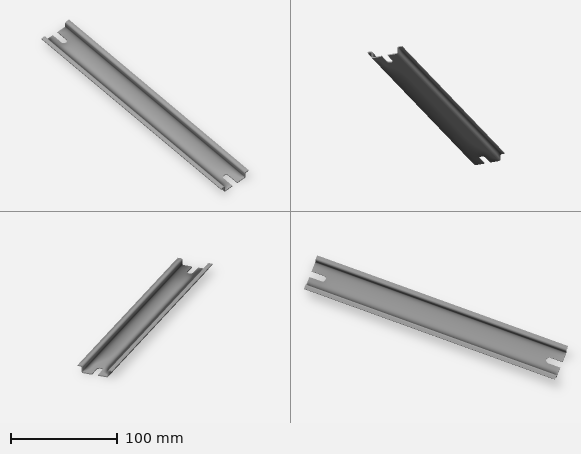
import cadquery as cq

length = 251.0
width = 35.0
height = 7.5
thickness = 1.0
channel_width = 27.0
inner_bend_radius = 0.8
outer_bend_radius = inner_bend_radius + thickness

slot_width = 6.0
slot_depth = 15.0


def box_profile(outside_width, bottom, top):
    """Bar along the rail, centred in Y, between two heights."""
    return cq.Workplane("XY").box(
        length, outside_width, top - bottom, centered=(True, True, False)
    ).translate((0, 0, bottom))


def make_rail():
    """Channel with rounded bends and two outward flanges."""
    inner_width = channel_width - 2 * thickness
    channel = box_profile(channel_width, 0, height)
    flanges = box_profile(width, height - thickness, height)
    outside = channel.edges("|X and <Z").fillet(outer_bend_radius).union(flanges)

    under_flange = cq.selectors.BoxSelector(
        (-length, -channel_width / 2 - thickness / 2, height - 1.5 * thickness),
        (length, channel_width / 2 + thickness / 2, height - thickness / 2),
    )
    outside = outside.edges("|X").edges(under_flange).fillet(inner_bend_radius)

    cavity = box_profile(inner_width, thickness, height)
    cavity = cavity.edges("|X and <Z").fillet(inner_bend_radius)
    rail = outside.cut(cavity)

    mouth = cq.selectors.BoxSelector(
        (-length, -channel_width / 2, height - thickness / 2),
        (length, channel_width / 2, height + thickness / 2),
    )
    return rail.edges("|X").edges(mouth).fillet(outer_bend_radius)


def end_slot(side):
    """Cutter for the slot at the end given by side (-1 or +1)."""
    return (
        cq.Workplane("XY")
        .center(side * length / 2, 0)
        .slot2D(2 * slot_depth, slot_width)
        .extrude(height)
    )


result = make_rail()
for end in (-1, 1):
    result = result.cut(end_slot(end))